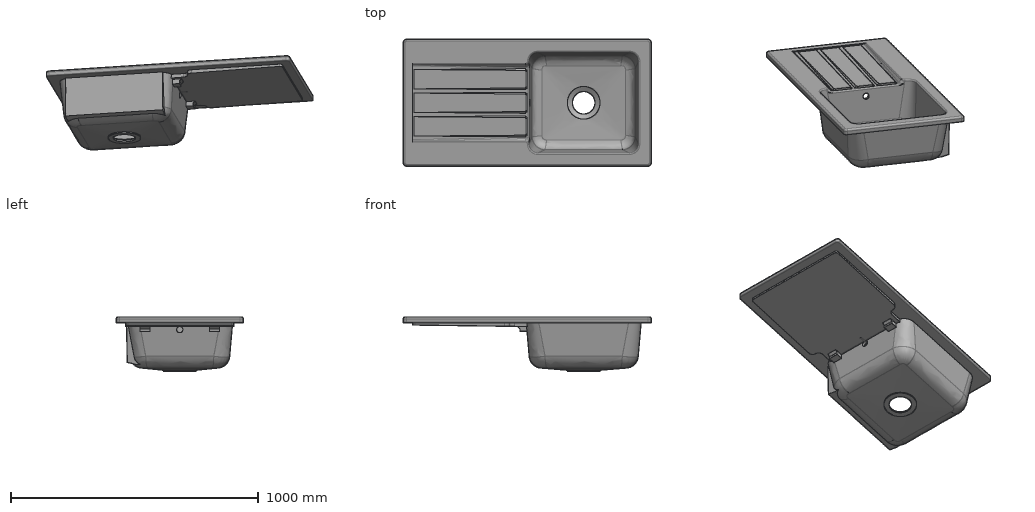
import cadquery as cq
import math

LENGTH = 1002.62
WIDTH = 513.63
HEIGHT = 220.51
MARGIN = 1.0
RIM_DEPTH = 23.5
RIM_CORNER_RADIUS = 14.0
RIM_TOP_FILLET = 8.0
RIM_BOTTOM_FILLET = 2.5

BOWL_CENTRE_X = 228.0
BOWL_LENGTH = 469.0
BOWL_WIDTH = 432.0
BOWL_CORNER_RADIUS = 49.0
WALL_DRAFT = 0.087
CORNER_GROWTH = 0.1
BOWL_DEPTH = 207.0
BOTTOM_FILLET = 53.5
WALL = 13.0
MOUTH_FILLET = 6.0
BOWL_START_X = BOWL_CENTRE_X - BOWL_LENGTH / 2

DRAIN_DIAMETER = 90.0
SEAT_DIAMETER = 132.0
SEAT_DEPTH = 10.0
SEAT_LIP = 1.5
FLOOR_FALL = 8.5
FLOOR_GUIDE_COUNT = 12
OVERFLOW_DIAMETER = 25.0
OVERFLOW_DEPTH = 51.0

TROUGH_START_X = -462.5
TROUGH_END_X = 12.0
TROUGH_WIDTH = 311.0
TROUGH_START_DEPTH = 4.0
TROUGH_END_DEPTH = 17.0
TROUGH_START_WALL_RUN = 4.0
TROUGH_END_WALL_RUN = 13.0
TROUGH_FLARE_RADIUS = 14.0

PAD_COUNT = 3
PAD_PITCH = 95.3
PAD_START_X = -456.5
PAD_END_X = -2.0
PAD_START_WIDTH = 78.0
PAD_END_WIDTH = 71.0
PAD_START_DEPTH = 3.0
PAD_END_DEPTH = 9.5
PAD_CORNER_CUT = 6.0

PLATE_START_X = -463.5
PLATE_WIDTH = 438.0
PLATE_START_RADIUS = 10.0
PLATE_SHOULDER_X = -71.0
PLATE_SHOULDER_RADIUS = 20.0
PLATE_START_DEPTH = 33.0
PLATE_END_DEPTH = 39.0

LUG_SLOPE_START_X = -40.0
LUG_SLOPE_START_DEPTH = 38.0
LUG_TIP_X = -30.0
LUG_SLOPE_DEPTH = 48.0
LUG_DEPTH = 58.5
LUG_WIDTH = 40.0
LUG_OFFSET_Y = 141.0

PANEL_LENGTH = 400.0
PANEL_TOP_Y = 215.5
PANEL_BOTTOM_Y = 212.5
PANEL_DEPTH = 184.0
PANEL_TOE_Y = 180.0
PANEL_TOE_DEPTH = 191.0


def rounded_rectangle(length, width, radius, z):
    """Sketch of a rounded rectangle on the bowl axis at height z."""
    outline = cq.Sketch().rect(length, width).vertices().fillet(radius)
    return outline.moved(cq.Location(cq.Vector(BOWL_CENTRE_X, 0, z)))


def bowl_cylinder(diameter, bottom_z, top_z):
    """Upright cylinder on the bowl axis."""
    base = cq.Workplane("XY", origin=(BOWL_CENTRE_X, 0, bottom_z))
    return base.circle(diameter / 2).extrude(top_z - bottom_z)


def xz_block(points, width, centre_y=0.0):
    """Extrude an XZ outline symmetrically about centre_y."""
    plane = cq.Workplane("XZ", origin=(0, centre_y, 0))
    return plane.polyline(points).close().extrude(width / 2, both=True)


def trapezoid(x, centre_y, top_width, top_z, base_width, base_z):
    """Closed YZ trapezoid wire at the given X."""
    return cq.Wire.makePolygon(
        [
            cq.Vector(x, centre_y - top_width / 2, top_z),
            cq.Vector(x, centre_y + top_width / 2, top_z),
            cq.Vector(x, centre_y + base_width / 2, base_z),
            cq.Vector(x, centre_y - base_width / 2, base_z),
        ],
        close=True,
    )


def ruled_loft(*wires):
    """Solid with flat-ruled sides through the wires."""
    return cq.Workplane("XY").add(cq.Solid.makeLoft(list(wires), True))


def floor_dish(rim_wire, depth):
    """Smooth dish that hangs below the flat floor edge and sinks to the drain seat."""
    guides = []
    for index in range(FLOOR_GUIDE_COUNT):
        angle = 2 * math.pi * index / FLOOR_GUIDE_COUNT
        guides.append(
            cq.Vector(
                BOWL_CENTRE_X + SEAT_DIAMETER / 2 * math.cos(angle),
                SEAT_DIAMETER / 2 * math.sin(angle),
                -depth - FLOOR_FALL,
            )
        )
    lid = cq.Face.makeFromWires(rim_wire)
    dish = cq.Face.makeNSidedSurface(rim_wire.Edges(), guides)
    return cq.Workplane("XY").add(cq.Solid.makeSolid(cq.Shell.makeShell([lid, dish])))


def bowl_form(inset):
    """Drafted bowl shape whose walls and floor lie inside the outer ones by the inset."""
    length = BOWL_LENGTH - 2 * inset
    width = BOWL_WIDTH - 2 * inset
    radius = BOWL_CORNER_RADIUS - inset
    depth = BOWL_DEPTH - inset
    fillet = BOTTOM_FILLET - inset
    run = WALL_DRAFT * depth
    bottom_length = length - 2 * run
    bottom_width = width - 2 * run
    bottom_radius = radius + CORNER_GROWTH * depth
    walls = (
        cq.Workplane("XY")
        .placeSketch(
            rounded_rectangle(bottom_length, bottom_width, bottom_radius, -depth),
            rounded_rectangle(length, width, radius, 0),
        )
        .loft()
        .faces("<Z").edges().fillet(fillet)
    )
    floor_edge = walls.faces("<Z").val().outerWire()
    return walls.union(floor_dish(floor_edge, depth))


def rim():
    """Slab with rounded corners and edges."""
    slab = cq.Workplane("XY").rect(LENGTH, WIDTH).extrude(-RIM_DEPTH)
    slab = slab.edges("|Z").fillet(RIM_CORNER_RADIUS)
    slab = slab.faces(">Z").edges().fillet(RIM_TOP_FILLET)
    return slab.faces("<Z").edges().fillet(RIM_BOTTOM_FILLET)


def drainer_plate():
    """Sloped plate with rounded shoulders that narrow it ahead of the bowl."""
    r = PLATE_SHOULDER_RADIUS
    wide = PLATE_WIDTH / 2
    middle = wide - r
    narrow = wide - 2 * r
    outline = (
        cq.Workplane("XY")
        .moveTo(BOWL_CENTRE_X, -narrow)
        .lineTo(BOWL_CENTRE_X, narrow)
        .lineTo(PLATE_SHOULDER_X + r, narrow)
        .radiusArc((PLATE_SHOULDER_X, middle), r)
        .radiusArc((PLATE_SHOULDER_X - r, wide), -r)
        .lineTo(PLATE_START_X, wide)
        .lineTo(PLATE_START_X, -wide)
        .lineTo(PLATE_SHOULDER_X - r, -wide)
        .radiusArc((PLATE_SHOULDER_X, -middle), -r)
        .radiusArc((PLATE_SHOULDER_X + r, -narrow), r)
        .close()
        .extrude(-PLATE_END_DEPTH)
        .edges("|Z and <X").fillet(PLATE_START_RADIUS)
    )
    slope = xz_block(
        [
            (PLATE_START_X, -RIM_DEPTH / 2),
            (PLATE_START_X, -PLATE_START_DEPTH),
            (BOWL_START_X, -PLATE_END_DEPTH),
            (BOWL_CENTRE_X, -PLATE_END_DEPTH),
            (BOWL_CENTRE_X, -RIM_DEPTH / 2),
        ],
        PLATE_WIDTH,
    )
    return outline.intersect(slope)


def lug(centre_y):
    """Lug with a sloped free end, reaching into the bowl wall."""
    return xz_block(
        [
            (LUG_SLOPE_START_X, -RIM_DEPTH),
            (LUG_SLOPE_START_X, -LUG_SLOPE_START_DEPTH),
            (LUG_TIP_X, -LUG_SLOPE_DEPTH),
            (LUG_TIP_X, -LUG_DEPTH),
            (BOWL_CENTRE_X, -LUG_DEPTH),
            (BOWL_CENTRE_X, -RIM_DEPTH),
        ],
        LUG_WIDTH,
        centre_y,
    )


def wall_panel():
    """Panel that stands out from the +Y wall, with a sloped toe."""
    outline = cq.Workplane("YZ", origin=(BOWL_CENTRE_X, 0, 0)).polyline(
        [
            (0, -RIM_DEPTH),
            (PANEL_TOP_Y, -RIM_DEPTH),
            (PANEL_BOTTOM_Y, -PANEL_DEPTH),
            (PANEL_TOE_Y, -PANEL_TOE_DEPTH),
            (0, -PANEL_TOE_DEPTH),
        ]
    )
    return outline.close().extrude(PANEL_LENGTH / 2, both=True)


def trough():
    """Cutter for the drainer recess, with sloped long sides."""
    return ruled_loft(
        trapezoid(TROUGH_START_X, 0, TROUGH_WIDTH, 0,
                  TROUGH_WIDTH - 2 * TROUGH_START_WALL_RUN, -TROUGH_START_DEPTH),
        trapezoid(TROUGH_END_X, 0, TROUGH_WIDTH, 0,
                  TROUGH_WIDTH - 2 * TROUGH_END_WALL_RUN, -TROUGH_END_DEPTH),
    )


def pad(centre_y):
    """Pad whose sides slope at 45 degrees at the bowl end, where its corners are cut."""
    base_z = -TROUGH_END_DEPTH - MARGIN

    def section(x, width, depth):
        return trapezoid(x, centre_y, width, -depth, width + 2 * (-base_z - depth), base_z)

    return ruled_loft(
        trapezoid(PAD_START_X, centre_y, PAD_START_WIDTH, -PAD_START_DEPTH, PAD_START_WIDTH, base_z),
        section(PAD_END_X - PAD_CORNER_CUT, PAD_END_WIDTH, PAD_END_DEPTH),
        section(PAD_END_X, PAD_END_WIDTH - 2 * PAD_CORNER_CUT, PAD_END_DEPTH),
    )


def edges_within(body, low, high):
    """Edges of the body that lie entirely inside the box between two corners."""
    return body.edges(cq.selectors.BoxSelector(low, high, boundingbox=True))


def round_mouth(body):
    """Flare the trough into the bowl, then round the whole mouth of the bowl."""
    start_x = BOWL_START_X + WALL - MARGIN
    low_z = -TROUGH_END_DEPTH - MARGIN
    outer_y = TROUGH_WIDTH / 2 + MARGIN
    inner_y = outer_y - TROUGH_END_WALL_RUN - 2 * MARGIN
    for low_y, high_y in ((-outer_y, -inner_y), (inner_y, outer_y)):
        corner = edges_within(body, (start_x, low_y, low_z), (TROUGH_END_X, high_y, MARGIN))
        body = corner.fillet(TROUGH_FLARE_RADIUS)
    mouth = edges_within(
        body,
        (start_x - 2 * TROUGH_FLARE_RADIUS, -BOWL_WIDTH / 2, low_z),
        (BOWL_CENTRE_X + BOWL_LENGTH / 2, BOWL_WIDTH / 2, MARGIN),
    )
    return mouth.fillet(MOUTH_FILLET)


def drain_cut():
    """Conical seat with a short upright lip, and the outlet through the floor below it."""
    lip_z = -(BOWL_DEPTH - WALL + FLOOR_FALL + SEAT_LIP)
    outlet_z = lip_z - SEAT_DEPTH
    profile = cq.Workplane("XZ", origin=(BOWL_CENTRE_X, 0, 0)).polyline(
        [
            (0, -BOWL_DEPTH + 2 * WALL),
            (SEAT_DIAMETER / 2, -BOWL_DEPTH + 2 * WALL),
            (SEAT_DIAMETER / 2, lip_z),
            (DRAIN_DIAMETER / 2, outlet_z),
            (DRAIN_DIAMETER / 2, -HEIGHT),
            (0, -HEIGHT),
        ]
    )
    return profile.close().revolve(360, (0, 0, 0), (0, 1, 0))


def overflow_hole():
    """Hole through the bowl wall on the drainer side."""
    start = cq.Workplane("YZ", origin=(LUG_TIP_X, 0, -OVERFLOW_DEPTH))
    return start.circle(OVERFLOW_DIAMETER / 2).extrude(BOWL_CENTRE_X - LUG_TIP_X)


body = rim().union(drainer_plate()).union(wall_panel())
for side in (-1, 1):
    body = body.union(lug(side * LUG_OFFSET_Y))
body = body.union(bowl_form(0))
body = body.union(bowl_cylinder(SEAT_DIAMETER, -HEIGHT, -BOWL_DEPTH))

body = body.cut(bowl_form(WALL)).cut(trough())
body = round_mouth(body)
for index in range(PAD_COUNT):
    body = body.union(pad((index - (PAD_COUNT - 1) / 2) * PAD_PITCH))

body = body.cut(drain_cut())
body = body.cut(overflow_hole())

result = body